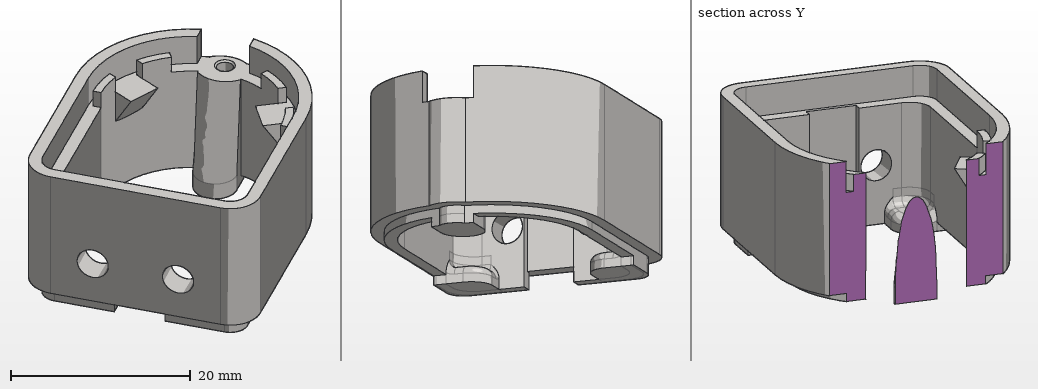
import cadquery as cq
import math

LENGTH = 34.0
HALF_WIDTH = 13.5
ARCH_Y = 19.95
BODY_HEIGHT = 15.65
CORNER_RADIUS = 3.55
WALL = 3.0
OPENING_CORNER_RADIUS = 2.48

LIP = 1.5
LIP_HEIGHT = 3.65
SHELF_Z = BODY_HEIGHT - LIP_HEIGHT
SKIRT_HEIGHT = 0.95
FOOT_HEIGHT = 2.0
FOOT_END_Y = 7.5

LIP_NOTCH_HALF_WIDTH = 3.05
WALL_NOTCH_HALF_WIDTH = 2.95
WALL_NOTCH_DEPTH = 1.0

BOSS_RADIUS_X = 3.1
BOSS_RADIUS_Y = 2.5
BOSS_Y = LENGTH - BOSS_RADIUS_Y
BOSS_HALF_WIDTH = 2.5
BOSS_FOOT_Y = 28.7
BOSS_NOSE_Y = BOSS_FOOT_Y - BOSS_HALF_WIDTH
SCREW_Y = 32.15
SCREW_DIAMETER = 1.9
SCREW_SINK_DIAMETER = 2.3
SCREW_DEPTH = 6.0

RIDGE_INSET = 2.05
RIDGE_RADIUS = HALF_WIDTH - RIDGE_INSET
RIDGE_HEIGHT = 2.0
RIDGE_END_ANGLE = 60.0
BLOCK_ANGLES = (30.0, 150.0)
BLOCK_WIDTH = 4.0
BLOCK_INNER_RADIUS = 7.75
BLOCK_DROP = 4.2

PAD_FILLET = 1.0
PAD_CORNER_RADIUS = 2.48
PAD_ROOT = 1.2

CABLE_HOLE_DIAMETER = 3.65
CABLE_HOLE_X = 5.0
CABLE_HOLE_Z = 5.0

OPENING_HALF_WIDTH = HALF_WIDTH - WALL


def arch_prism(inset, corner_radius, bottom, top):
    """Prism with a round back end and two rounded front corners, inset from the outer wall."""
    half = HALF_WIDTH - inset
    diagonal = corner_radius * (1 - math.sqrt(0.5))
    return (
        cq.Workplane("XY", origin=(0, 0, bottom))
        .moveTo(half, ARCH_Y)
        .threePointArc((0, ARCH_Y + half), (-half, ARCH_Y))
        .lineTo(-half, inset + corner_radius)
        .threePointArc((-half + diagonal, inset + diagonal), (-half + corner_radius, inset))
        .lineTo(half - corner_radius, inset)
        .threePointArc((half - diagonal, inset + diagonal), (half, inset + corner_radius))
        .close()
        .extrude(top - bottom)
    )


def block_between(x_range, y_range, z_range):
    """Axis-aligned box from its limits."""
    limits = (x_range, y_range, z_range)
    sizes = [high - low for low, high in limits]
    corner = tuple(low for low, high in limits)
    return cq.Workplane("XY").box(*sizes, centered=False).translate(corner)


def centred_block(half_width, y_range, z_range):
    """Box symmetric about the middle of the part."""
    return block_between((-half_width, half_width), y_range, z_range)


def boss_bulge(inset, bottom, top):
    """Outer bulge of the screw boss."""
    return (
        cq.Workplane("XY", origin=(0, BOSS_Y, bottom))
        .ellipse(BOSS_RADIUS_X - inset, BOSS_RADIUS_Y - inset)
        .extrude(top - bottom)
    )


def boss_profile(plane, front_y, side_y):
    """Straight-sided outline with one bowed front edge."""
    return (
        plane.moveTo(BOSS_HALF_WIDTH, BOSS_Y)
        .lineTo(-BOSS_HALF_WIDTH, BOSS_Y)
        .lineTo(-BOSS_HALF_WIDTH, side_y)
        .threePointArc((0, front_y), (BOSS_HALF_WIDTH, side_y))
        .close()
    )


def sloping_boss():
    """Inner side of the boss, leaning inward from the shelf down to the round foot."""
    half_depth = BOSS_RADIUS_Y * math.sqrt(1 - (BOSS_HALF_WIDTH / BOSS_RADIUS_X) ** 2)
    foot = boss_profile(cq.Workplane("XY"), BOSS_NOSE_Y, BOSS_FOOT_Y)
    top_plane = foot.workplane(offset=SHELF_Z)
    return boss_profile(top_plane, BOSS_Y - BOSS_RADIUS_Y, BOSS_Y - half_depth).loft(ruled=True)


def boss_foot():
    """Round-nosed foot under the boss, trimmed to the skirt outline."""
    plane = cq.Workplane("XY", origin=(0, 0, -FOOT_HEIGHT))
    nose = boss_profile(plane, BOSS_NOSE_Y, BOSS_FOOT_Y).extrude(FOOT_HEIGHT)
    back = centred_block(BOSS_HALF_WIDTH, (BOSS_Y, LENGTH), (-FOOT_HEIGHT, 0))
    return nose.union(back).intersect(skirt_outline(-FOOT_HEIGHT))


def skirt_outline(bottom):
    """Solid inside the outer face of the skirt, from the given bottom up to z = 0."""
    outline = arch_prism(LIP, CORNER_RADIUS - LIP, bottom, 0)
    return outline.union(boss_bulge(LIP, bottom, 0))


def opening_prism(bottom, top):
    """The space inside the wall."""
    return arch_prism(WALL, OPENING_CORNER_RADIUS, bottom, top)


def turned_about_arch(shape, angle):
    """Move a shape made along +X from the origin to the given angle about the arch centre."""
    return shape.rotate((0, 0, 0), (0, 0, 1), angle).translate((0, ARCH_Y, 0))


def ridges():
    """Curved ridges standing on the shelf, interrupted at each wedge block.

    They reach inward to the arch centre here; cutting the opening leaves only the ridges.
    """
    plane = cq.Workplane("XY", origin=(0, ARCH_Y, SHELF_Z))
    end_x = HALF_WIDTH * math.cos(math.radians(RIDGE_END_ANGLE))
    end_y = HALF_WIDTH * math.sin(math.radians(RIDGE_END_ANGLE))
    gap_corners = [(0, 0), (end_x, end_y), (0, LENGTH), (-end_x, end_y)]
    crown_gap = plane.polyline(gap_corners).close().extrude(RIDGE_HEIGHT)
    front_half = centred_block(HALF_WIDTH, (0, ARCH_Y), (SHELF_Z, BODY_HEIGHT))
    ring = plane.circle(RIDGE_RADIUS).extrude(RIDGE_HEIGHT)
    ring = ring.cut(crown_gap).cut(front_half)
    half = BLOCK_WIDTH / 2
    slot = block_between((0, HALF_WIDTH), (-half, half), (SHELF_Z, BODY_HEIGHT))
    for angle in BLOCK_ANGLES:
        ring = ring.cut(turned_about_arch(slot, angle))
    return ring


def wedge_block():
    """Flat-topped block with a sloping underside that runs back into the wall."""
    root_x = (OPENING_HALF_WIDTH + HALF_WIDTH - LIP) / 2
    return (
        cq.Workplane("XZ", origin=(0, BLOCK_WIDTH / 2, 0))
        .moveTo(BLOCK_INNER_RADIUS, SHELF_Z)
        .lineTo(root_x, SHELF_Z)
        .lineTo(root_x, SHELF_Z - BLOCK_DROP)
        .lineTo(OPENING_HALF_WIDTH, SHELF_Z - BLOCK_DROP)
        .close()
        .extrude(BLOCK_WIDTH)
    )


def corner_pad():
    """Pad in the right front corner, blended into the walls and rounded along its free edge."""
    size = FOOT_END_Y - WALL + PAD_ROOT
    centre_x = OPENING_HALF_WIDTH + PAD_ROOT - size / 2
    centre_y = FOOT_END_Y - size / 2
    blended_opening = opening_prism(0, BODY_HEIGHT).faces("<Z").edges().fillet(PAD_FILLET)
    return (
        cq.Workplane("XY", origin=(centre_x, centre_y, -FOOT_HEIGHT))
        .rect(size, size)
        .extrude(FOOT_HEIGHT + 2 * PAD_FILLET)
        .edges("|Z and ((>Y and <X) or (<Y and >X))")
        .fillet(PAD_CORNER_RADIUS)
        .cut(blended_opening)
        .faces(">Y")
        .edges(cq.selectors.NearestToPointSelector((centre_x, FOOT_END_Y, 0)))
        .fillet(PAD_FILLET)
    )


def screw_hole():
    """Blind countersunk hole in the top of the boss."""
    sink = (SCREW_SINK_DIAMETER - SCREW_DIAMETER) / 2
    plane = cq.Workplane("XY", origin=(0, SCREW_Y, SHELF_Z))
    hole = plane.circle(SCREW_DIAMETER / 2).extrude(-SCREW_DEPTH)
    cone = plane.circle(SCREW_SINK_DIAMETER / 2).workplane(offset=-sink).circle(SCREW_DIAMETER / 2).loft()
    return hole.union(cone)


def cable_holes():
    """Two round holes through the flat wall."""
    return (
        cq.Workplane("XZ", origin=(0, 0, CABLE_HOLE_Z))
        .pushPoints([(-CABLE_HOLE_X, 0), (CABLE_HOLE_X, 0)])
        .circle(CABLE_HOLE_DIAMETER / 2)
        .extrude(-WALL)
    )


def tube():
    """Wall, skirt, corner feet and ridges, with the opening and the front notch cut through."""
    outer = arch_prism(0, CORNER_RADIUS, 0, BODY_HEIGHT).union(boss_bulge(0, 0, SHELF_Z))
    lip_pocket = arch_prism(LIP, CORNER_RADIUS - LIP, SHELF_Z, BODY_HEIGHT)
    lip_notch = centred_block(LIP_NOTCH_HALF_WIDTH, (ARCH_Y, LENGTH), (SHELF_Z, BODY_HEIGHT))
    feet_zone = centred_block(HALF_WIDTH, (0, FOOT_END_Y), (-FOOT_HEIGHT, 0))
    feet = skirt_outline(-FOOT_HEIGHT).intersect(feet_zone)
    body = outer.cut(lip_pocket).cut(lip_notch)
    body = body.union(skirt_outline(-SKIRT_HEIGHT)).union(feet).union(ridges())

    wall_notch = centred_block(WALL_NOTCH_HALF_WIDTH, (WALL - WALL_NOTCH_DEPTH, WALL), (0, SHELF_Z))
    feet_gap = centred_block(WALL_NOTCH_HALF_WIDTH, (0, WALL), (-FOOT_HEIGHT, 0))
    opening = opening_prism(-FOOT_HEIGHT, BODY_HEIGHT)
    return body.cut(opening).cut(wall_notch).cut(feet_gap)


result = tube().union(sloping_boss()).union(boss_foot())
for angle in BLOCK_ANGLES:
    result = result.union(turned_about_arch(wedge_block(), angle))
result = result.cut(screw_hole()).cut(cable_holes()).clean()

right_pad = corner_pad()
for corner in (right_pad, right_pad.mirror("YZ")):
    result = result.union(corner, clean=False)